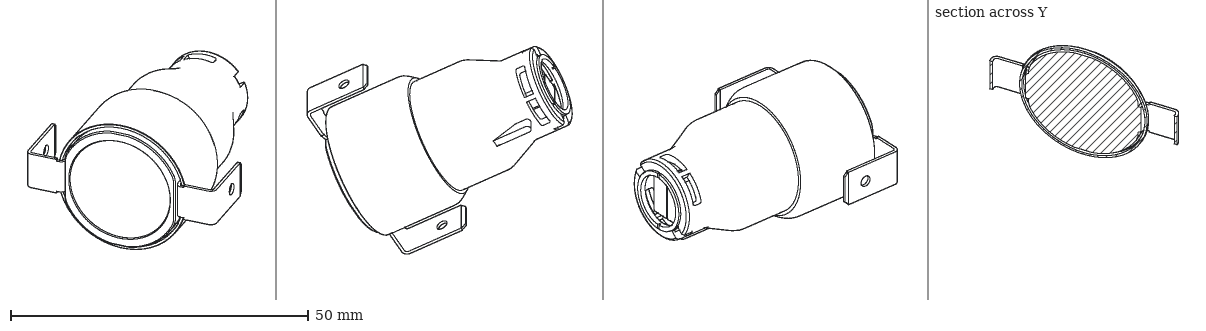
import cadquery as cq
import math


total_length = 38.65
shell_radius = 23.6 / 2
shell_front = 1.1
shell_front_chamfer = 0.08
shoulder_corner = 14.55
shoulder_end = 16.3
shoulder_end_radius = 10.6
barrel_radius = 10.0
barrel_corner = 25.55
tail_radius = 7.25
tail_corner = 31.5
tail_end = 38.22
tail_chamfer = 0.4
large_blend = 2.0
small_blend = 1.0

ring_radius = 10.95
ring_side_flat = 10.13
ring_top_flat = 10.82
ring_corner_blend = 3.48
ring_chamfer = 0.25
groove_radius = 11.3
groove_floor = 2.3
lens_radius = 9.3
lens_depth = 0.25
lens_taper = 0.15
dish_radius = 7.15
dish_depth = 0.4

bracket_reach = 34.5 / 2
bracket_thickness = 0.55
bracket_front = 0.15
bracket_bend = 1.1
bracket_width = 6.45
bracket_end = 12.1
tip_length = 0.77
tip_step = 0.08
neck_width = 5.85
neck_reach = 11.65
bracket_hole_radius = 0.95
bracket_hole_y = 7.65

bore_radius = 5.87
bore_floor = 33.25
rim_front = 37.7
rim_opening_radius = 4.65
rim_ring_radius = 5.45
split_width = 0.27
post_width = 6.95
post_height = 8.5

window_front = 35.05
window_back = 36.75
window_corner = 0.35
window_axis_angle = -30.0
window_rib_half_angle = 3.3
window_end_half_angle = 46.5
notch_front = 36.1
notch_width = 2.15
notch_angles = (58.5, -134.0)

key_width = 1.3
key_end = 34.0
key_rounding = 0.6
key_depth = 9.25


def cylinder(radius, front, back):
    """Cylinder about the Y axis."""
    return cq.Workplane("XZ", origin=(0, front, 0)).circle(radius).extrude(front - back)


def revolve_about_y(profile):
    return profile.close().revolve(360, (0, 0, 0), (0, 1, 0))


def block(x_size, y_range, z_size):
    """Block centred on the Y axis in X and Z."""
    front, back = y_range
    return cq.Workplane("XY").box(x_size, back - front, z_size).translate((0, (front + back) / 2, 0))


def make_shell():
    shell = revolve_about_y(
        cq.Workplane("XY")
        .moveTo(0, shell_front)
        .lineTo(shell_radius, shell_front)
        .lineTo(shell_radius, shoulder_corner)
        .lineTo(shoulder_end_radius, shoulder_end)
        .lineTo(barrel_radius, shoulder_end)
        .lineTo(barrel_radius, barrel_corner)
        .lineTo(tail_radius, tail_corner)
        .lineTo(tail_radius, tail_end)
        .lineTo(0, tail_end)
    )

    def circle_at(y, radius):
        """Selector for the circular edge at a station along Y, up to the given radius."""
        margin = 0.08
        reach = radius + margin
        return cq.selectors.BoxSelector(
            (-reach, y - margin, -reach), (reach, y + margin, reach), boundingbox=True
        )

    shell = shell.edges(circle_at(shoulder_corner, shell_radius)).fillet(large_blend)
    shell = shell.edges(circle_at(barrel_corner, barrel_radius)).fillet(large_blend)
    shell = shell.edges(circle_at(tail_corner, tail_radius)).fillet(small_blend)
    shell = shell.edges(circle_at(tail_end, tail_radius)).chamfer(tail_chamfer)
    return shell.edges(circle_at(shell_front, shell_radius)).chamfer(shell_front_chamfer)


def make_lens_ring():
    sides = block(2 * ring_side_flat, (0, groove_floor), 2 * ring_radius)
    ring = cylinder(ring_radius, 0, groove_floor).intersect(sides)
    ring = ring.edges("|Y").fillet(ring_corner_blend)
    top_flats = block(2 * ring_radius, (0, groove_floor), 2 * ring_top_flat)
    ring = ring.faces("<Y").chamfer(ring_chamfer).intersect(top_flats.faces("<Y").chamfer(ring_chamfer))
    dish_curvature_radius = (dish_radius**2 + dish_depth**2) / (2 * dish_depth)
    lens_recess = revolve_about_y(
        cq.Workplane("XY")
        .lineTo(lens_radius, 0)
        .lineTo(lens_radius - lens_taper, lens_depth)
        .lineTo(dish_radius, lens_depth)
        .radiusArc((0, lens_depth + dish_depth), -dish_curvature_radius)
    )
    return ring.cut(lens_recess)


def make_bracket():
    """Bracket on the +X side: a strip folded twice, from the lens ring to the free tip."""
    fold_y = bracket_front + bracket_bend
    inner_bend = bracket_bend - bracket_thickness
    root_fold_x = ring_side_flat + bracket_bend
    tip_fold_x = bracket_reach - bracket_bend
    inner_front = bracket_front + bracket_thickness
    slant = math.sqrt(0.5)
    tip_start = bracket_end - tip_length
    inner_face = bracket_reach - bracket_thickness
    strip = (
        cq.Workplane("XY")
        .moveTo(ring_side_flat, groove_floor)
        .lineTo(ring_side_flat, fold_y)
        .threePointArc(
            (root_fold_x - bracket_bend * slant, fold_y - bracket_bend * slant), (root_fold_x, bracket_front)
        )
        .lineTo(tip_fold_x, bracket_front)
        .threePointArc(
            (tip_fold_x + bracket_bend * slant, fold_y - bracket_bend * slant), (bracket_reach, fold_y)
        )
        .lineTo(bracket_reach, tip_start)
        .lineTo(bracket_reach - tip_step, tip_start)
        .lineTo(bracket_reach - tip_step, bracket_end)
        .lineTo(inner_face + tip_step, bracket_end)
        .lineTo(inner_face + tip_step, tip_start)
        .lineTo(inner_face, tip_start)
        .lineTo(inner_face, fold_y)
        .threePointArc(
            (tip_fold_x + inner_bend * slant, fold_y - inner_bend * slant), (tip_fold_x, inner_front)
        )
        .lineTo(root_fold_x, inner_front)
        .threePointArc(
            (root_fold_x - inner_bend * slant, fold_y - inner_bend * slant),
            (root_fold_x - inner_bend, fold_y),
        )
        .lineTo(root_fold_x - inner_bend, groove_floor)
        .close()
        .extrude(bracket_width / 2, both=True)
    )
    wide_outline = (
        block(2 * bracket_reach, (0, bracket_end), bracket_width).edges("|X and >Y").chamfer(tip_length)
    )
    neck_sides = block(2 * neck_reach, (0, bracket_end), bracket_width).cut(
        block(2 * neck_reach, (0, bracket_end), neck_width)
    )
    hole = (
        cq.Workplane("YZ").center(bracket_hole_y, 0).circle(bracket_hole_radius).extrude(bracket_reach)
    )
    return strip.intersect(wide_outline).cut(neck_sides).cut(hole)


def make_key():
    """Round-ended key under the tail, running into the cone."""
    key = block(key_width, (barrel_corner, key_end), 2 * key_depth).edges("|Z and >Y").fillet(key_rounding)
    lower_half = block(key_width, (barrel_corner, key_end), key_depth).translate((0, 0, -key_depth / 2))
    return key.intersect(lower_half).cut(cylinder(bore_radius, barrel_corner, key_end))


def make_window(rib_angle, end_angle):
    """Wedge through the tail wall with rounded corners at its end angle."""
    reach = 2 * tail_radius
    rib_x, end_x = [math.sin(math.radians(angle)) for angle in (rib_angle, end_angle)]
    rib_z, end_z = [math.cos(math.radians(angle)) for angle in (rib_angle, end_angle)]
    return (
        cq.Workplane("XZ", origin=(0, window_front, 0))
        .polyline([(0, 0), (reach * rib_x, reach * rib_z), (reach * end_x, reach * end_z)])
        .close()
        .extrude(window_front - window_back)
        .edges(cq.selectors.ParallelDirSelector(cq.Vector(end_x, 0, end_z)))
        .fillet(window_corner)
    )


def cut_windows(body):
    """Two opposite pairs of windows, each pair parted by a rib."""
    for pair_axis in (window_axis_angle, window_axis_angle + 180):
        for side in (-1, 1):
            rib_angle = pair_axis + side * window_rib_half_angle
            end_angle = pair_axis + side * window_end_half_angle
            body = body.cut(make_window(rib_angle, end_angle))
    return body


def make_notch(angle):
    """Open-ended notch through the tail wall."""
    return (
        cq.Workplane("XY")
        .box(notch_width, total_length - notch_front, tail_radius, centered=(True, False, False))
        .translate((0, notch_front, rim_ring_radius))
        .rotate((0, 0, 0), (0, 1, 0), angle)
    )


def make_socket():
    """Raised end ring and central contact post, both split by a slit along X = 0."""
    ring = cylinder(rim_ring_radius, rim_front, total_length)
    ring = ring.cut(cylinder(rim_opening_radius, rim_front, total_length))
    slit = block(split_width, (tail_end, total_length), 2 * tail_radius)
    post = block(post_width, (bore_floor, window_back), post_height)
    post_slit = block(split_width, (bore_floor, window_back), post_height)
    return ring.cut(slit).union(post.cut(post_slit))


shell = make_shell()
shell = shell.cut(cylinder(groove_radius, shell_front, groove_floor))
shell = shell.union(make_lens_ring())
shell = shell.union(make_key())
shell = shell.cut(cylinder(bore_radius, bore_floor, rim_front))
shell = shell.cut(cylinder(rim_opening_radius, rim_front, total_length))
shell = cut_windows(shell)
for notch_angle in notch_angles:
    shell = shell.cut(make_notch(notch_angle))
shell = shell.union(make_socket())

bracket = make_bracket()
result = shell.union(bracket).union(bracket.mirror("YZ"))